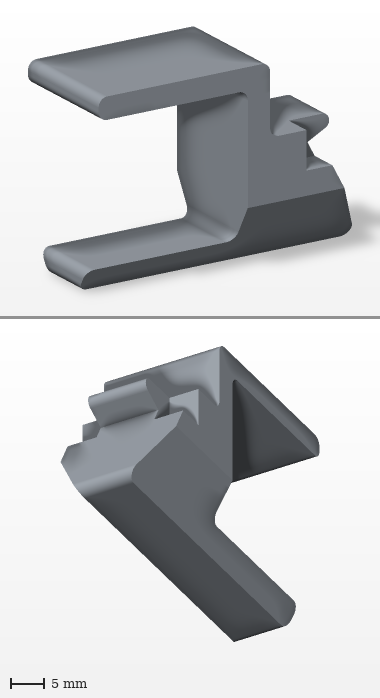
import cadquery as cq
import math

width = 20.0
length = 48.0
height = 32.5

arm_thickness = 3.75
edge_radius = 1.5
slot_radius = 1.6
wall_inner_y = 26.5
wall_outer_y = 30.5
ledge_z = 20.5
hook_tip_y = 44.1
hook_radius = 1.25
front_angle = math.radians(62)
hook_angle = math.pi / 2 - front_angle

hook_width = 10.0
notch_back_y = 36.9
notch_floor_z = 14.0

bevel_height = 10.0
bevel_angle = math.radians(30)


def sharp_corner_y(reach, radius, angle):
    """Y of a sharp corner with one horizontal side that reaches `reach` once rounded."""
    return reach - radius + radius / math.tan(angle / 2)


def make_body():
    foot_y = sharp_corner_y(length, edge_radius, front_angle)
    hook_y = sharp_corner_y(hook_tip_y, hook_radius, hook_angle)

    front_slope = math.tan(front_angle)
    hook_slope = math.tan(hook_angle)
    root_y = (foot_y * front_slope + hook_y * hook_slope - ledge_z) / (front_slope + hook_slope)
    root_z = (foot_y - root_y) * front_slope

    profile = [
        (0, 0),
        (foot_y, 0),
        (root_y, root_z),
        (hook_y, ledge_z),
        (wall_outer_y, ledge_z),
        (wall_outer_y, height),
        (0, height),
        (0, height - arm_thickness),
        (wall_inner_y, height - arm_thickness),
        (wall_inner_y, arm_thickness),
        (0, arm_thickness),
    ]
    body = cq.Workplane("YZ").polyline(profile).close().extrude(width / 2, both=True)

    hook_edge = cq.selectors.NearestToPointSelector((0, hook_y, ledge_z))
    root_edge = cq.selectors.NearestToPointSelector((0, root_y, root_z))
    across = cq.selectors.ParallelDirSelector(cq.Vector(1, 0, 0))
    lower_slot_edge = cq.selectors.NearestToPointSelector((0, wall_inner_y, arm_thickness))
    upper_slot_edge = cq.selectors.NearestToPointSelector((0, wall_inner_y, height - arm_thickness))
    slot_edges = lower_slot_edge + upper_slot_edge
    body = body.edges(across - hook_edge - root_edge - slot_edges).fillet(edge_radius)
    body = body.edges(hook_edge).fillet(hook_radius)
    return body.edges(slot_edges).fillet(slot_radius)


def make_notch(side):
    """Block beside the hook; side is -1 or 1."""
    notch_width = (width - hook_width) / 2
    center_x = side * (hook_width + notch_width) / 2
    return (
        cq.Workplane("XY", origin=(center_x, notch_back_y, notch_floor_z))
        .box(notch_width, length - notch_back_y, height, centered=(True, False, False))
    )


def make_bevel(side):
    """Wedge along one lower side edge; side is -1 or 1."""
    bevel_width = bevel_height * math.tan(bevel_angle)
    outer_x = side * width / 2
    corners = [(outer_x, 0), (outer_x, bevel_height), (outer_x - side * bevel_width, 0)]
    return cq.Workplane("XZ").polyline(corners).close().extrude(-length)


result = make_body()
for side in (-1, 1):
    result = result.cut(make_notch(side)).cut(make_bevel(side))